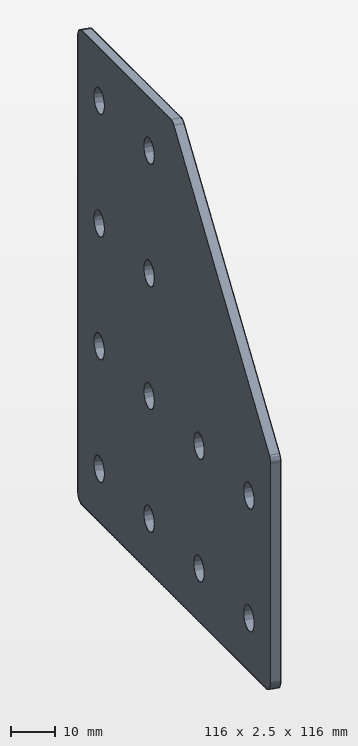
import cadquery as cq

side = 116.0
thickness = 2.5
short_edge = 57.15
corner_radius = 2.5

hole_diameter = 6.2
hole_pitch = 30.0
holes_per_side = 4
arm_width_in_holes = 2
edge_margin = (side - (holes_per_side - 1) * hole_pitch) / 2


def make_plate():
    """Square plate in XZ with its +X+Z corner cut off and all corners rounded."""
    outline = [
        (0, 0),
        (side, 0),
        (side, short_edge),
        (short_edge, side),
        (0, side),
    ]
    plate = cq.Workplane("XZ").polyline(outline).close().extrude(-thickness)
    return plate.edges("|Y").fillet(corner_radius)


def hole_centers():
    """Grid positions lying in the lower arm or the left arm of the L pattern."""
    centers = []
    for column in range(holes_per_side):
        for row in range(holes_per_side):
            if min(column, row) < arm_width_in_holes:
                x = edge_margin + column * hole_pitch
                z = edge_margin + row * hole_pitch
                centers.append((x, z))
    return centers


def make_hole_cutters():
    """Cylinders running through the full plate thickness."""
    return cq.Workplane("XZ").pushPoints(hole_centers()).circle(hole_diameter / 2).extrude(-thickness)


result = make_plate().cut(make_hole_cutters())